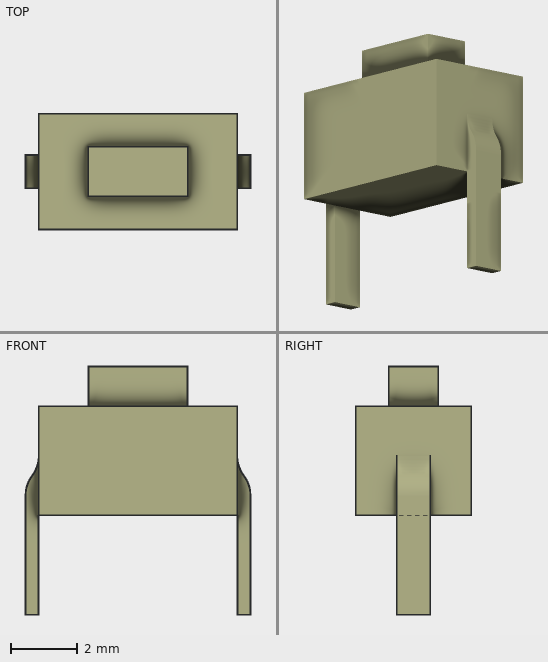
import cadquery as cq
import math

total_height = 7.5
total_width = 6.8

body_width = 6.0
body_depth = 3.5
body_height = 3.3

button_width = 3.0
button_depth = 1.5
button_height = 1.2

lead_width = 1.01
lead_thickness = (total_width - body_width) / 2
bend_height = 1.2
bend_bottom_above_body = 0.6

body_bottom = total_height - button_height - body_height
body_top = body_bottom + body_height


def make_block(width, depth, height, bottom):
    """Return a box centred on the Z axis, standing on the given level."""
    return (
        cq.Workplane("XY")
        .workplane(offset=bottom)
        .rect(width, depth)
        .extrude(height)
    )


def make_lead():
    """Return the +X lead, whose shoulder is two equal arcs with vertical end tangents."""
    inner_x = body_width / 2
    outer_x = inner_x + lead_thickness
    bend_bottom = body_bottom + bend_bottom_above_body
    bend_top = bend_bottom + bend_height
    half_run = lead_thickness / 2
    half_rise = bend_height / 2
    bend_radius = (half_run**2 + half_rise**2) / (2 * half_run)

    half_angle = math.asin(half_rise / bend_radius) / 2
    arc_run = bend_radius * (1 - math.cos(half_angle))
    arc_rise = bend_radius * math.sin(half_angle)

    return (
        cq.Workplane("XZ")
        .moveTo(inner_x, 0)
        .lineTo(outer_x, 0)
        .lineTo(outer_x, bend_bottom)
        .threePointArc(
            (outer_x - arc_run, bend_bottom + arc_rise),
            (outer_x - half_run, bend_bottom + half_rise),
        )
        .threePointArc(
            (inner_x + arc_run, bend_top - arc_rise),
            (inner_x, bend_top),
        )
        .close()
        .extrude(lead_width / 2, both=True)
    )


body = make_block(body_width, body_depth, body_height, body_bottom)
button = make_block(button_width, button_depth, button_height, body_top)
right_lead = make_lead()
left_lead = right_lead.mirror("YZ")

result = body.union(button).union(right_lead).union(left_lead)